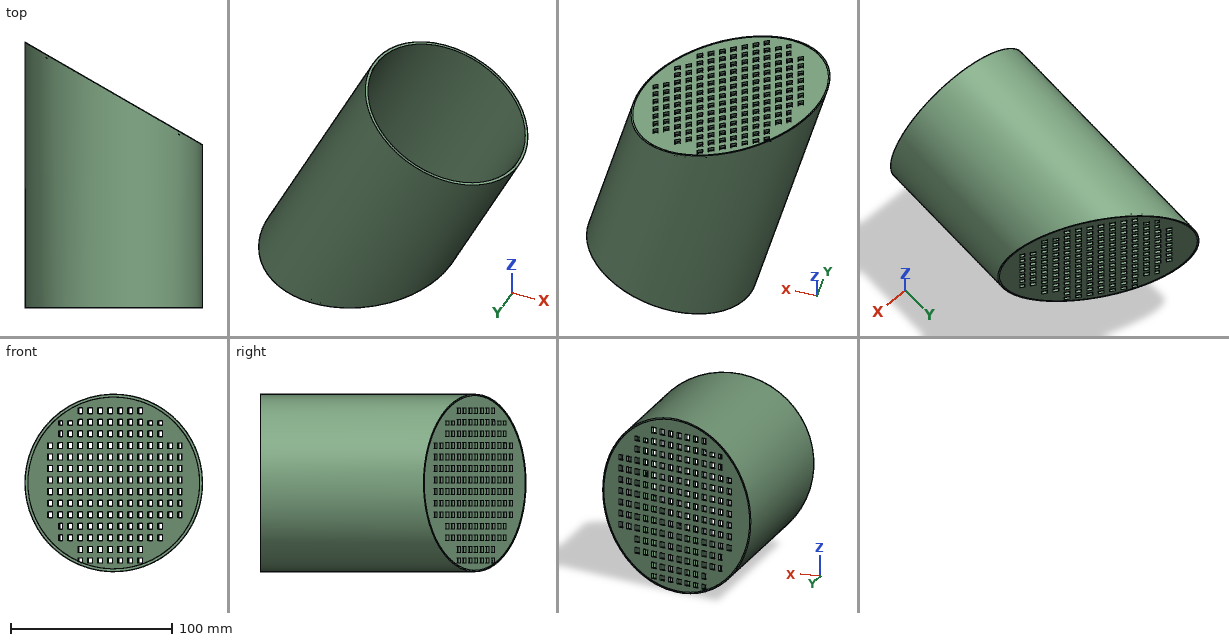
import cadquery as cq
import math

length = 164.5
outer_diameter = 110.0
bore_diameter = 106.4
seat_diameter = 108.2
slant = math.radians(30)

plate_thickness = 1.8
short_row_holes = 7
short_row_span = 43.0
hole_pitch = short_row_span / (short_row_holes - 1)
hole_size = hole_pitch / 2
hole_shift = hole_pitch / 2

zone_long = 49.5
zone_middle = 38.5
zone_short = 24.7

outer_radius = outer_diameter / 2
slant_rise = outer_radius * math.tan(slant)
axis_length = length - slant_rise
plate_depth = plate_thickness / math.cos(slant)
cells_per_side = math.ceil(zone_long / hole_pitch)

slant_plane = cq.Plane(
    origin=(0, axis_length, 0),
    xDir=(math.cos(slant), -math.sin(slant), 0),
    normal=(-math.sin(slant), -math.cos(slant), 0),
)


def slanted_rod(diameter, rod_length):
    """Cylinder along Y from Y = 0, cut parallel to the slanted end at rod_length on its axis."""
    envelope = (
        cq.Workplane("XY")
        .polyline([
            (-outer_radius, 0),
            (outer_radius, 0),
            (outer_radius, rod_length - slant_rise),
            (-outer_radius, rod_length + slant_rise),
        ])
        .close()
        .extrude(outer_radius, both=True)
    )
    return cq.Workplane("XZ").circle(diameter / 2).extrude(-length).intersect(envelope)


def plate_blank():
    """Elliptical disc without holes that fills the seat in the slanted end."""
    below_plate = slanted_rod(outer_diameter, axis_length - plate_depth)
    return slanted_rod(seat_diameter, axis_length).cut(below_plate)


def make_tube():
    """Tube with a slanted end and a seat for the grille plate."""
    tube = slanted_rod(outer_diameter, axis_length).cut(slanted_rod(bore_diameter, axis_length))
    return tube.cut(plate_blank())


def perforated_zone():
    """Stepped block through the plate that limits where the holes may be open."""
    half_sizes = [
        (zone_short, zone_long),
        (zone_middle, zone_middle),
        (zone_long, zone_short),
    ]
    zone = cq.Workplane(slant_plane)
    for half_x, half_y in half_sizes:
        zone = zone.union(
            cq.Workplane(slant_plane).rect(2 * half_x, 2 * half_y).extrude(plate_thickness)
        )
    return zone


def hole_cutters():
    """Square holes normal to the plate, trimmed to the perforated zone."""
    cells = range(-cells_per_side, cells_per_side)
    centres = [
        (column * hole_pitch + hole_shift + hole_size / 2, row * hole_pitch + hole_size / 2)
        for column in cells
        for row in cells
    ]
    holes = (
        cq.Workplane(slant_plane)
        .pushPoints(centres)
        .rect(hole_size, hole_size)
        .extrude(plate_thickness)
    )
    return holes.intersect(perforated_zone())


def make_grille():
    """Perforated plate closing the slanted end."""
    return plate_blank().cut(hole_cutters())


tube = make_tube()
grille = make_grille()
result = cq.Compound.makeCompound([tube.val(), grille.val()])